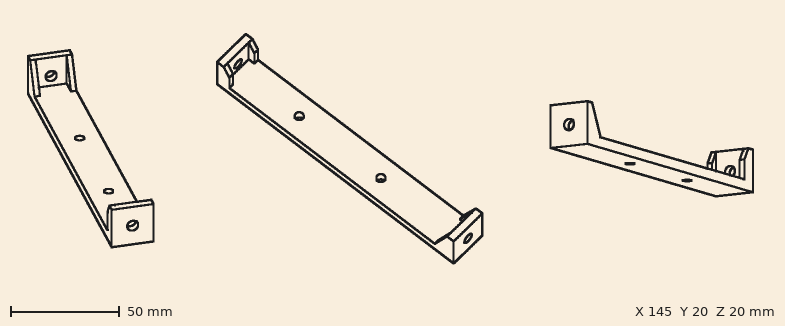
import cadquery as cq

length = 145.0
width = 20.0
height = 20.0

floor_thickness = 5.0
wall_thickness = 4.0
gusset_thickness = 2.6

left_gusset_run = 7.5
right_gusset_run = 3.5
right_gusset_slope_drop = 5.8

floor_hole_diameter = 4.2
floor_hole_spacing = 50.0
floor_hole_offset = 6.0
wall_hole_diameter = 5.2
wall_hole_height = height / 2

left_wall_face = -length / 2 + wall_thickness
right_wall_face = length / 2 - wall_thickness


def make_channel():
    """Flat floor with an upright wall at each end."""
    outline = [
        (-length / 2, 0),
        (length / 2, 0),
        (length / 2, height),
        (right_wall_face, height),
        (right_wall_face, floor_thickness),
        (left_wall_face, floor_thickness),
        (left_wall_face, height),
        (-length / 2, height),
    ]
    return cq.Workplane("XZ").polyline(outline).close().extrude(width / 2, both=True)


def add_gusset_pair(body, outline):
    """Add one gusset of the given XZ outline along each long edge."""
    for outer_face in (-width / 2, width / 2 - gusset_thickness):
        gusset = (
            cq.Workplane("XZ", origin=(0, outer_face, 0))
            .polyline(outline)
            .close()
            .extrude(-gusset_thickness)
        )
        body = body.union(gusset)
    return body


def cut_floor_holes(body):
    """Two vertical through holes, shifted from the middle of the floor."""
    centres = [
        (floor_hole_offset - floor_hole_spacing / 2, 0),
        (floor_hole_offset + floor_hole_spacing / 2, 0),
    ]
    holes = (
        cq.Workplane("XY")
        .pushPoints(centres)
        .circle(floor_hole_diameter / 2)
        .extrude(floor_thickness)
    )
    return body.cut(holes)


def cut_wall_holes(body):
    """One bore along X that passes through both end walls."""
    bore = (
        cq.Workplane("YZ", origin=(-length / 2, 0, wall_hole_height))
        .circle(wall_hole_diameter / 2)
        .extrude(length)
    )
    return body.cut(bore)


left_gusset = [
    (left_wall_face, floor_thickness),
    (left_wall_face + left_gusset_run, floor_thickness),
    (left_wall_face, height),
]

right_gusset_face = right_wall_face - right_gusset_run
right_gusset = [
    (right_wall_face, floor_thickness),
    (right_wall_face, height),
    (right_gusset_face, height - right_gusset_slope_drop),
    (right_gusset_face, floor_thickness),
]

result = make_channel()
result = add_gusset_pair(result, left_gusset)
result = add_gusset_pair(result, right_gusset)
result = cut_floor_holes(result)
result = cut_wall_holes(result)